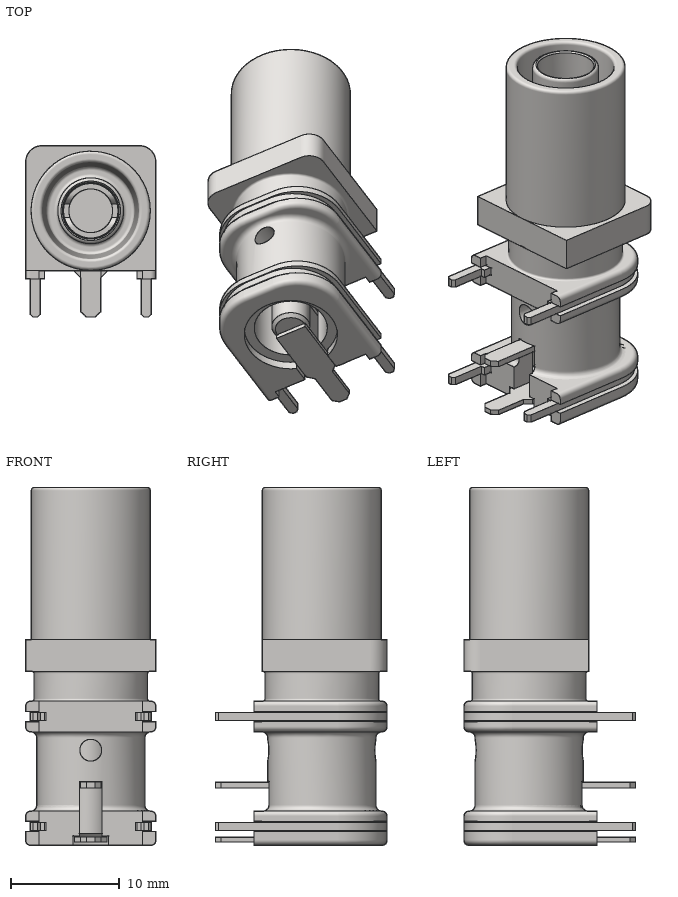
import cadquery as cq

height = 33.0
half_width = 6.0
pin_tip_y = -9.8

flange_top = 18.98
flange_bottom = 16.05
upper_collar_top = 13.3
upper_collar_bottom = 10.45
lower_collar_top = 3.17

barrel_diameter = 11.0
neck_diameter = 10.5
sleeve_diameter = 10.0
neck_fillet = 0.2
sleeve_fillet = 0.53

flange_corner_radius = 1.52
flange_front_y = -barrel_diameter / 2

collar_corner_radius = 4.45
collar_front_y = -6.27
collar_edge_radius = 0.45
front_recess_y = -5.55
front_recess_half_width = 4.8

upper_groove_z = 11.88
lower_groove_z = 1.75
groove_height = 0.92
groove_depth = half_width - front_recess_half_width
clip_height = 0.75
clip_side_inset = 0.43
clip_shoulder_half_width = 4.25
pocket_half_width = 4.12
pocket_back_y = -4.62
clip_pin_outer = half_width - clip_side_inset
clip_pin_width = 0.92
clip_pin_chamfer = 0.25

rim_fillet = 0.3
socket_mouth_radius = 4.45
socket_floor_radius = 4.05
socket_floor_fillet = 0.33
tube_diameter = 6.07
tube_fillet = 0.33
tube_bore_diameter = 5.2
tube_bore_floor_diameter = 5.0
tube_bore_chamfer = 0.13
contact_hole_radius = 2.0
contact_hole_depth = 1.98
trough_half_width = 0.63
trough_lip_radius = 0.92

cavity_diameter = 6.73
cavity_top = 9.93
bottom_recess_diameter = 8.58
bottom_recess_height = 0.9
side_hole_diameter = 2.0
side_hole_z = 8.78
slot_width = 2.08
slot_top = 5.9
base_notch_width = 3.3
core_diameter = 3.5
core_chamfer = 0.33
tab_width = 1.85
tab_tip_flat = 0.8
tab_tip_length = 0.5
upper_tab_bottom = 5.28
upper_tab_top = 5.85
lower_tab_bottom = 0.3
lower_tab_top = 0.75
lower_tab_base_width = 3.05
lower_tab_flare_y = -5.58


def cylinder(diameter, bottom, top):
    return cq.Workplane("XY").workplane(offset=bottom).circle(diameter / 2).extrude(top - bottom)


def block(x_min, x_max, y_min, y_max, z_min, z_max):
    size = (x_max - x_min, y_max - y_min, z_max - z_min)
    return cq.Workplane("XY").box(*size, centered=False).translate((x_min, y_min, z_min))


def rounded_back_plate(side_x, back_y, front_y, corner_radius, bottom, top):
    """Plate with a straight front edge and rounded rear corners."""
    plate = block(-side_x, side_x, front_y, back_y, bottom, top)
    return plate.edges("|Z and >Y").fillet(corner_radius)


def collar_plate(inset, bottom, top):
    """Plate with the collar outline, shrunk inward by an inset on the sides and the back."""
    edge = half_width - inset
    return rounded_back_plate(edge, edge, collar_front_y, collar_corner_radius - inset, bottom, top)


def filleted_column(radius, fillet, bottom, top):
    """Revolved column whose two ends flare outward with concave fillets."""
    profile = (
        cq.Workplane("XZ")
        .moveTo(0, bottom)
        .lineTo(radius + fillet, bottom)
        .radiusArc((radius, bottom + fillet), fillet)
        .lineTo(radius, top - fillet)
        .radiusArc((radius + fillet, top), fillet)
        .lineTo(0, top)
        .close()
    )
    return profile.revolve(360, (0, 0), (0, 1))


def collar(bottom, top):
    plate = collar_plate(0, bottom, top)
    plate = plate.faces("<Z or >Z").edges("not <Y").fillet(collar_edge_radius)
    recess = block(
        -front_recess_half_width, front_recess_half_width, collar_front_y, front_recess_y, bottom, top
    )
    return plate.cut(recess)


def clip_pin(center_z):
    """Right-hand clip pin with a shoulder ending at the collar front."""
    bottom = center_z - clip_height / 2
    top = center_z + clip_height / 2
    inner_x = clip_pin_outer - clip_pin_width
    pin = block(inner_x, clip_pin_outer, pin_tip_y, pocket_back_y, bottom, top)
    pin = pin.faces("<Y").edges("|Z").chamfer(clip_pin_chamfer)
    shoulder = block(
        clip_shoulder_half_width, clip_pin_outer, collar_front_y, pocket_back_y, bottom, top
    )
    return pin.union(shoulder)


def add_clip(body, center_z):
    """Cut the groove around a collar and seat the clip in it, flush at the back of the collar."""
    groove_bottom = center_z - groove_height / 2
    groove_top = center_z + groove_height / 2
    groove_core = collar_plate(groove_depth, groove_bottom, groove_top)
    groove = collar_plate(0, groove_bottom, groove_top).cut(groove_core)

    bottom = center_z - clip_height / 2
    top = center_z + clip_height / 2
    clip = rounded_back_plate(
        clip_pin_outer, half_width, collar_front_y, collar_corner_radius, bottom, top
    )
    clip = clip.cut(collar_plate(groove_depth, bottom, top))

    pocket = block(
        pocket_half_width, front_recess_half_width, collar_front_y, pocket_back_y, bottom, top
    )
    pin = clip_pin(center_z)
    body = body.cut(groove).union(clip)
    body = body.cut(pocket).cut(pocket.mirror("YZ"))
    return body.union(pin).union(pin.mirror("YZ"))


def mating_socket():
    """Tapered annular space between the barrel and the inner tube."""
    tube_radius = tube_diameter / 2
    fillet = socket_floor_fillet
    profile = (
        cq.Workplane("XZ")
        .moveTo(tube_radius - tube_fillet, height)
        .radiusArc((tube_radius, height - tube_fillet), tube_fillet)
        .lineTo(tube_radius, flange_top + fillet)
        .radiusArc((tube_radius + fillet, flange_top), -fillet)
        .lineTo(socket_floor_radius - fillet, flange_top)
        .radiusArc((socket_floor_radius, flange_top + fillet), -fillet)
        .lineTo(socket_mouth_radius, height - rim_fillet)
        .radiusArc((socket_mouth_radius + rim_fillet, height), rim_fillet)
        .close()
    )
    return profile.revolve(360, (0, 0), (0, 1))


def tube_bore():
    """Slightly tapered bore of the inner tube with a chamfered mouth."""
    mouth_radius = tube_bore_diameter / 2
    profile = (
        cq.Workplane("XZ")
        .moveTo(0, flange_top)
        .lineTo(tube_bore_floor_diameter / 2, flange_top)
        .lineTo(mouth_radius, height - tube_bore_chamfer)
        .lineTo(mouth_radius + tube_bore_chamfer, height)
        .lineTo(0, height)
        .close()
    )
    return profile.revolve(360, (0, 0), (0, 1))


def lip_trough():
    """Cross trough along X with rounded lips in the floor of the tube bore."""
    floor_z = flange_top - trough_lip_radius
    mouth = trough_half_width + trough_lip_radius
    profile = (
        cq.Workplane("YZ")
        .moveTo(-trough_half_width, floor_z)
        .lineTo(trough_half_width, floor_z)
        .radiusArc((mouth, flange_top), trough_lip_radius)
        .lineTo(-mouth, flange_top)
        .radiusArc((-trough_half_width, floor_z), trough_lip_radius)
        .close()
    )
    trough = profile.extrude(tube_bore_floor_diameter / 2, both=True)
    return trough.intersect(cylinder(tube_bore_floor_diameter, floor_z, flange_top))


def solder_tab(bottom, top, base_width):
    """Flat tab from the core to the tip; a wide base tapers at 45 degrees."""
    half_base = base_width / 2
    half_tab = tab_width / 2
    half_flat = tab_tip_flat / 2
    outline = [(half_base, 0)]
    if half_base > half_tab:
        outline.append((half_base, lower_tab_flare_y))
        outline.append((half_tab, lower_tab_flare_y - (half_base - half_tab)))
    outline += [
        (half_tab, pin_tip_y + tab_tip_length),
        (half_flat, pin_tip_y),
    ]
    outline += [(-x, y) for x, y in reversed(outline)]
    return cq.Workplane("XY").workplane(offset=bottom).polyline(outline).close().extrude(top - bottom)


barrel = cylinder(barrel_diameter, flange_bottom, height).faces(">Z").edges().fillet(rim_fillet)
flange = rounded_back_plate(
    half_width, half_width, flange_front_y, flange_corner_radius, flange_bottom, flange_top
)
neck = filleted_column(neck_diameter / 2, neck_fillet, upper_collar_top, flange_bottom)
sleeve = filleted_column(sleeve_diameter / 2, sleeve_fillet, lower_collar_top, upper_collar_bottom)
body = barrel.union(flange).union(neck).union(sleeve)
body = body.union(collar(upper_collar_bottom, upper_collar_top))
body = body.union(collar(0, lower_collar_top))

for groove_z in (upper_groove_z, lower_groove_z):
    body = add_clip(body, groove_z)

contact_hole = cylinder(2 * contact_hole_radius, flange_top - contact_hole_depth, flange_top)
body = body.cut(mating_socket()).cut(tube_bore())
body = body.cut(lip_trough()).cut(contact_hole)

cavity = cylinder(cavity_diameter, 0, cavity_top)
bottom_recess = cylinder(bottom_recess_diameter, 0, bottom_recess_height)
side_hole = (
    cq.Workplane("XZ")
    .center(0, side_hole_z)
    .circle(side_hole_diameter / 2)
    .extrude(sleeve_diameter / 2 + sleeve_fillet, both=True)
)
slot = block(-slot_width / 2, slot_width / 2, collar_front_y, 0, 0, slot_top)
base_notch = block(-base_notch_width / 2, base_notch_width / 2, collar_front_y, 0, 0, bottom_recess_height)
for opening in (cavity, bottom_recess, side_hole, slot, base_notch):
    body = body.cut(opening)

core = cylinder(core_diameter, lower_tab_top, cavity_top).faces("<Z").edges().chamfer(core_chamfer)
upper_tab = solder_tab(upper_tab_bottom, upper_tab_top, tab_width)
lower_tab = solder_tab(lower_tab_bottom, lower_tab_top, lower_tab_base_width)
result = body.union(core).union(upper_tab).union(lower_tab)